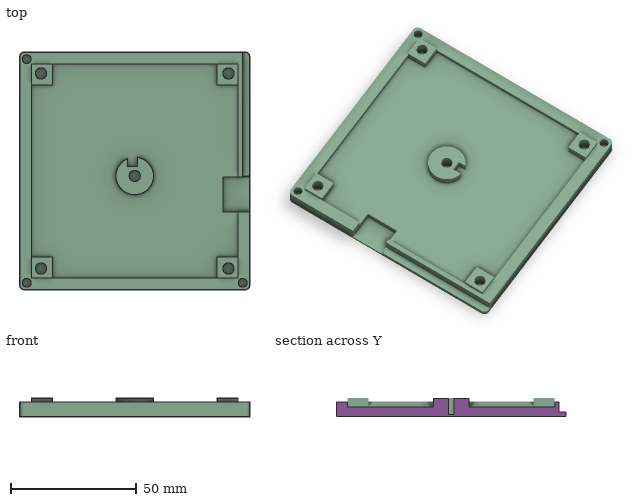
import cadquery as cq

length_x = 92.0
length_y = 95.0
tray_height = 6.0
corner_radius = 2.0
wall = 4.75
floor_thickness = 4.0
cavity_x = length_x - 2 * wall
cavity_y = length_y - 2 * wall
hole_bottom = 1.0
cut_clearance = 0.95

total_height = 7.5
standoff_height = total_height - floor_thickness
pad_size = 8.4
pad_hole_diameter = 4.5
pad_hole_inset = wall + 3.8

boss_diameter = 15.0
boss_y = -2.0
boss_hole_diameter = 4.5
notch_left = -2.9
notch_width = 4.0
notch_bottom = 1.8

rim_hole_diameter = 3.5
rim_hole_inset = 2.85

opening_depth = 10.7
opening_top = -2.4
opening_width = 14.0
opening_floor = 1.0
ledge_width = 2.9
ledge_height = 2.0
ledge_end_wall = 0.4
ledge_end_wall_height = 2.3


def box(x, y, z, size_x, size_y, size_z):
    """Box with its lowest corner at (x, y, z)."""
    return cq.Workplane("XY").box(size_x, size_y, size_z, centered=False).translate((x, y, z))


def cylinder(x, y, z, diameter, height):
    """Upright cylinder with its base centred on (x, y, z)."""
    return cq.Workplane("XY").circle(diameter / 2).extrude(height).translate((x, y, z))


def make_tray():
    outer = cq.Workplane("XY").rect(length_x, length_y).extrude(tray_height)
    outer = outer.edges("|Z").fillet(corner_radius)
    return outer.cut(box(-cavity_x / 2, -cavity_y / 2, floor_thickness, cavity_x, cavity_y, tray_height))


def make_pad(side_x, side_y):
    """Square standoff in the cavity corner given by the two signs."""
    pad = box(-pad_size / 2, -pad_size / 2, floor_thickness, pad_size, pad_size, standoff_height)
    return pad.translate((side_x * (cavity_x - pad_size) / 2, side_y * (cavity_y - pad_size) / 2, 0))


def make_boss():
    boss = cylinder(0, boss_y, floor_thickness, boss_diameter, standoff_height)
    return boss.cut(box(notch_left, notch_bottom, floor_thickness, notch_width, boss_diameter, standoff_height))


def make_opening():
    return box(
        length_x / 2 - opening_depth,
        opening_top - opening_width,
        opening_floor,
        opening_depth + cut_clearance,
        opening_width,
        tray_height,
    )


def make_ledge_cut():
    """Step along the outside of the +X wall, with a low, thin wall left at its end."""
    ledge_x = length_x / 2 - ledge_width
    ledge_y = opening_top + ledge_end_wall
    cut_width = ledge_width + cut_clearance
    ledge = box(ledge_x, ledge_y, ledge_height, cut_width, length_y, tray_height)
    end_wall_top = box(
        ledge_x, opening_top, ledge_end_wall_height, cut_width, ledge_end_wall, tray_height
    )
    return ledge.union(end_wall_top)


result = make_tray().union(make_boss())
for side_x in (-1, 1):
    for side_y in (-1, 1):
        result = result.union(make_pad(side_x, side_y))

result = result.cut(make_opening()).cut(make_ledge_cut())

result = result.cut(cylinder(0, boss_y, hole_bottom, boss_hole_diameter, total_height))
for side_x in (-1, 1):
    for side_y in (-1, 1):
        hole_x = side_x * (length_x / 2 - pad_hole_inset)
        hole_y = side_y * (length_y / 2 - pad_hole_inset)
        result = result.cut(cylinder(hole_x, hole_y, hole_bottom, pad_hole_diameter, total_height))

for side_x, side_y in ((-1, -1), (-1, 1), (1, -1)):
    hole_x = side_x * (length_x / 2 - rim_hole_inset)
    hole_y = side_y * (length_y / 2 - rim_hole_inset)
    result = result.cut(cylinder(hole_x, hole_y, hole_bottom, rim_hole_diameter, total_height))